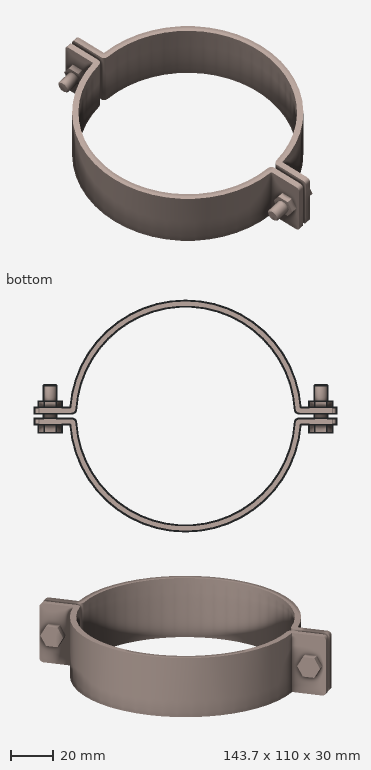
import cadquery as cq
import math

overall_length = 143.7
outer_diameter = 110.0
band_width = 30.0
band_thickness = 3.0
half_gap = 1.08
ear_corner_radius = 2.0
bend_radius = 2.3

bolt_inset = 7.5
shank_diameter = 6.5
hex_across_flats = 9.9
head_height = 3.9
nut_height = 3.0
shank_end_offset = 15.0
tip_chamfer = 0.6

outer_radius = outer_diameter / 2
inner_radius = outer_radius - band_thickness
ear_end = overall_length / 2
ear_outer_face = half_gap + band_thickness
bolt_x = ear_end - bolt_inset
hex_across_corners = hex_across_flats / math.cos(math.radians(30))


def cylinder_along_y(diameter, x, y_start, y_end):
    plane = cq.Plane(origin=(x, y_start, 0), xDir=(1, 0, 0), normal=(0, 1, 0))
    return cq.Workplane(plane).circle(diameter / 2).extrude(y_end - y_start)


def hexagon_along_y(x, y_start, height):
    """Hexagonal prism with two of its corners pointing along X."""
    plane = cq.Plane(origin=(x, y_start, 0), xDir=(1, 0, 0), normal=(0, 1, 0))
    return cq.Workplane(plane).polygon(6, hex_across_corners).extrude(height)


def make_clamp_half():
    """Rear half (+Y): a bent strip with a drilled ear at each end."""
    outer_corner_x = math.sqrt(outer_radius**2 - ear_outer_face**2)
    inner_corner_x = math.sqrt(inner_radius**2 - half_gap**2)
    half = (
        cq.Workplane("XY", origin=(0, 0, -band_width / 2))
        .moveTo(-ear_end, half_gap)
        .lineTo(-inner_corner_x, half_gap)
        .threePointArc((0, inner_radius), (inner_corner_x, half_gap))
        .lineTo(ear_end, half_gap)
        .lineTo(ear_end, ear_outer_face)
        .lineTo(outer_corner_x, ear_outer_face)
        .threePointArc((0, outer_radius), (-outer_corner_x, ear_outer_face))
        .lineTo(-ear_end, ear_outer_face)
        .close()
        .extrude(band_width)
    )
    for side in (-1, 1):
        bend_edge = cq.selectors.NearestToPointSelector((side * inner_corner_x, half_gap, 0))
        half = half.edges(bend_edge).fillet(bend_radius)
    half = half.faces("<X or >X").edges("|Y").fillet(ear_corner_radius)
    for side in (-1, 1):
        half = half.cut(cylinder_along_y(shank_diameter, side * bolt_x, 0, ear_outer_face))
    return half


def make_bolt(x):
    """Bolt and nut as one piece, head at +Y and shank tip at -Y."""
    shank = cylinder_along_y(shank_diameter, x, -shank_end_offset, ear_outer_face)
    shank = shank.faces("<Y").chamfer(tip_chamfer)
    head = hexagon_along_y(x, ear_outer_face, head_height)
    nut = hexagon_along_y(x, -ear_outer_face - nut_height, nut_height)
    return shank.union(head).union(nut)


rear_half = make_clamp_half()
front_half = rear_half.mirror("XZ")
bolts = [make_bolt(side * bolt_x) for side in (-1, 1)]

result = cq.Compound.makeCompound(
    [rear_half.val(), front_half.val(), *[bolt.val() for bolt in bolts]]
)